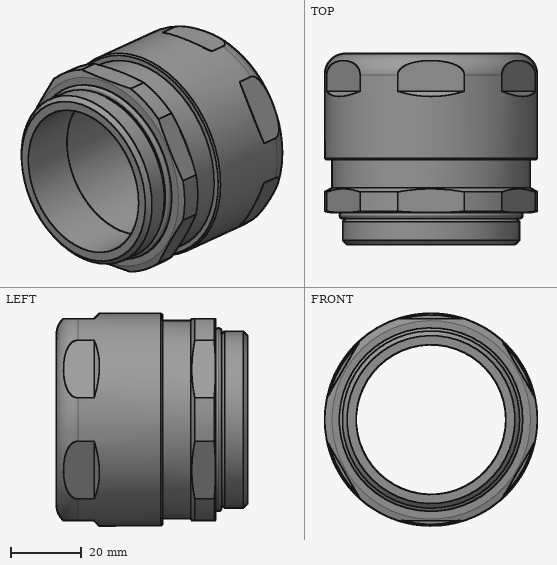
import cadquery as cq


outer_radius = 30.0
length = 54.0
across_flats = 57.0
flat_count = 6

entry_bore_diameter = 42.2
inner_bore_diameter = 42.1
entry_bore_depth = 16.1

spigot_radius = 50.0 / 2
spigot_end_chamfer = 1.3
spigot_shoulder = 6.55
relief_radius = 47.9 / 2
relief_start = spigot_shoulder + spigot_radius - relief_radius

seal_outer_radius = 25.85
seal_section_radius = 0.9
seal_center = 8.3
seal_ring_radius = seal_outer_radius - seal_section_radius

neck_radius = 56.0 / 2
flange_start = 9.0
flange_front_edge = 9.5
flange_back_edge = 14.95
flange_end = 16.1

cap_start = 24.0
cap_edge_chamfer = 0.5
cap_rounding = 6.0
cap_flat_start = 43.3


def flat_cutter(flat_profile):
    """Block running along X whose (y, z) profile is removed from the +Z side."""
    return (
        cq.Workplane("YZ")
        .polyline(flat_profile)
        .close()
        .extrude(outer_radius, both=True)
    )


def cut_flats(body, flat_profile):
    """Cut the same flat at equal angles around the Y axis."""
    cutter = flat_cutter(flat_profile)
    for index in range(flat_count):
        angle = index * 360.0 / flat_count
        body = body.cut(cutter.rotate((0, 0, 0), (0, 1, 0), angle))
    return body


def turned_body():
    """Solid of revolution carrying every round outer surface."""
    round_start = length - cap_rounding
    rounded_end_radius = outer_radius - cap_rounding
    profile = (
        cq.Workplane("XY")
        .moveTo(0, 0)
        .lineTo(spigot_radius - spigot_end_chamfer, 0)
        .lineTo(spigot_radius, spigot_end_chamfer)
        .lineTo(spigot_radius, spigot_shoulder)
        .lineTo(relief_radius, relief_start)
        .lineTo(relief_radius, flange_start)
        .lineTo(neck_radius, flange_start)
        .lineTo(outer_radius, flange_front_edge)
        .lineTo(outer_radius, flange_back_edge)
        .lineTo(neck_radius, flange_end)
        .lineTo(neck_radius, cap_start)
        .lineTo(outer_radius - cap_edge_chamfer, cap_start)
        .lineTo(outer_radius, cap_start + cap_edge_chamfer)
        .lineTo(outer_radius, round_start)
        .radiusArc((rounded_end_radius, length), -cap_rounding)
        .lineTo(0, length)
        .close()
    )
    return profile.revolve(360, (0, 0, 0), (0, 1, 0))


def seal_ring():
    """Round-section ring seated slightly into the flange face."""
    profile = cq.Workplane("XY").center(seal_ring_radius, seal_center).circle(seal_section_radius)
    return profile.revolve(360, (-seal_ring_radius, 0, 0), (-seal_ring_radius, 1, 0))


def bore(diameter, y_start, y_end):
    """Cylinder along Y between two stations."""
    return cq.Workplane("XZ", origin=(0, y_start, 0)).circle(diameter / 2).extrude(y_start - y_end)


flat_height = across_flats / 2
flat_depth = outer_radius - flat_height
cutter_top = outer_radius + flat_depth

flange_flat = [
    (flange_start, flat_height),
    (flange_end, flat_height),
    (flange_end, cutter_top),
    (flange_start, cutter_top),
]

cap_flat = [
    (cap_flat_start, flat_height),
    (length, flat_height),
    (length, cutter_top),
    (cap_flat_start - 2 * flat_depth, cutter_top),
]

result = turned_body().union(seal_ring())
result = cut_flats(result, flange_flat)
result = cut_flats(result, cap_flat)
result = result.cut(bore(entry_bore_diameter, 0, entry_bore_depth))
result = result.cut(bore(inner_bore_diameter, entry_bore_depth, length))